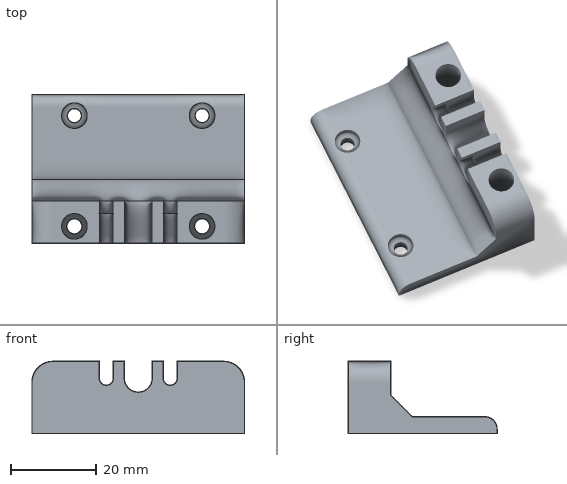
import cadquery as cq

length = 50.0
depth = 35.0
height = 17.0

plate_thickness = 4.0
block_depth = 10.0
web_run = 5.0
web_rise = 5.0
plate_edge_radius = 3.0
block_corner_radius = 5.0

slot_axis_z = 13.0
centre_slot_width = 6.5
side_slot_width = 3.25
side_slot_offset = 7.5
collar_diameter = 6.0
collar_depth = 3.0

screw_offset = 15.0
front_screw_y = 4.0
rear_screw_y = 30.0
front_screw_diameter = 3.5
rear_screw_diameter = 3.25
screw_head_diameter = 6.0
screw_seat_z = 2.5


def make_body():
    """Extruded side profile with rounded upper corners on the block."""
    profile = (
        cq.Workplane("YZ", origin=(-length / 2, 0, 0))
        .lineTo(depth, 0)
        .lineTo(depth, plate_thickness - plate_edge_radius)
        .radiusArc((depth - plate_edge_radius, plate_thickness), -plate_edge_radius)
        .lineTo(block_depth + web_run, plate_thickness)
        .lineTo(block_depth, plate_thickness + web_rise)
        .lineTo(block_depth, height)
        .lineTo(0, height)
        .close()
    )
    body = profile.extrude(length)
    top_end_edges = body.faces(">Z").edges("|Y")
    return top_end_edges.fillet(block_corner_radius)


def cylinder_along_y(x, diameter, y_start, y_length):
    """Cylinder on the slot axis height, running toward +Y from y_start."""
    plane = cq.Workplane("XZ", origin=(x, y_start, slot_axis_z))
    return plane.circle(diameter / 2).extrude(-y_length)


def slot_cutter(x, width):
    """Round-bottomed slot through the full depth of the block."""
    rounded_bottom = cylinder_along_y(x, width, 0, block_depth)
    opening = cq.Workplane("XY").box(
        width, block_depth, height - slot_axis_z, centered=(True, False, False)
    )
    return rounded_bottom.union(opening.translate((x, 0, slot_axis_z)))


def screw_cutter(x, y, diameter):
    """Through hole with a flat-bottomed recess for the screw head."""
    shank = cq.Workplane("XY", origin=(x, y, 0)).circle(diameter / 2).extrude(height)
    head = (
        cq.Workplane("XY", origin=(x, y, screw_seat_z))
        .circle(screw_head_diameter / 2)
        .extrude(height - screw_seat_z)
    )
    return shank.union(head)


result = make_body().cut(slot_cutter(0, centre_slot_width))

for side in (-1, 1):
    slot_x = side * side_slot_offset
    screw_x = side * screw_offset
    result = result.cut(slot_cutter(slot_x, side_slot_width))
    collar_start = block_depth - collar_depth
    result = result.cut(cylinder_along_y(slot_x, collar_diameter, collar_start, collar_depth))
    result = result.cut(screw_cutter(screw_x, front_screw_y, front_screw_diameter))
    result = result.cut(screw_cutter(screw_x, rear_screw_y, rear_screw_diameter))